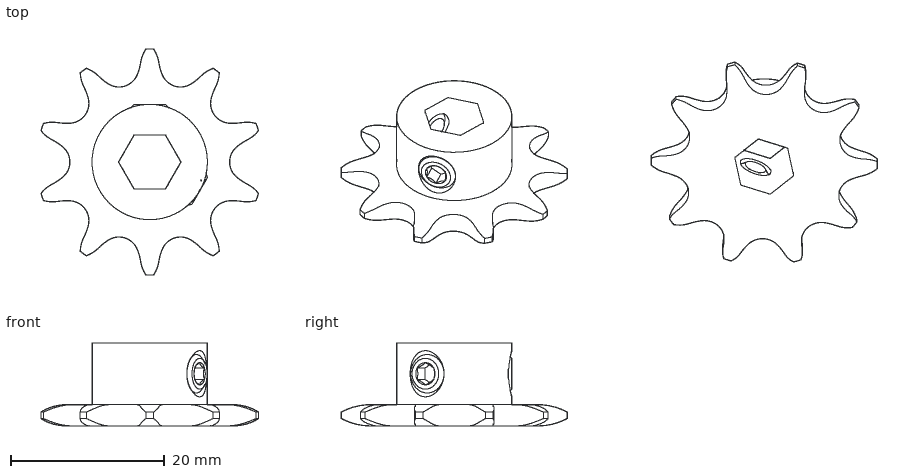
import cadquery as cq
import math

TEETH = 10
PITCH = 8.0
ROLLER_DIAMETER = 5.0
INCH = 25.4
SEAT_CLEARANCE = 0.003 * INCH
WORKING_OFFSET = 0.8 * ROLLER_DIAMETER
TIP_OFFSET = 1.4 * ROLLER_DIAMETER
HALF_TOOTH_ANGLE = math.pi / TEETH
PITCH_RADIUS = PITCH / (2 * math.sin(HALF_TOOTH_ANGLE))
TIP_RADIUS = PITCH * (0.6 + 1 / math.tan(HALF_TOOTH_ANGLE)) / 2

PLATE_THICKNESS = 2.8
FLANK_LENGTH = 3.85
FLANK_RADIUS = PITCH

HUB_RADIUS = 7.5
HUB_LENGTH = 8.0
BORE_ACROSS_FLATS = 7.0
BORE_CORNER_RADIUS = 0.15

SCREW_RADIUS = 2.5
SCREW_LENGTH = 4.0
SCREW_HEAD_CHAMFER = 0.5
SCREW_ANGLES = (90, -30)
SCREW_HEIGHT = PLATE_THICKNESS + HUB_LENGTH / 2
COUNTERSINK_DEPTH = 0.5
SOCKET_ACROSS_FLATS = 2.5
SOCKET_DEPTH = 2.0
CUP_RADIUS = 1.4
CUP_DEPTH = 1.0
TIP_HOLE_RADIUS = 2.1

OUTER_END = HUB_RADIUS
INNER_END = OUTER_END - SCREW_LENGTH

COS_30 = math.cos(math.radians(30))


def polar(center, radius, angle):
    """Point at the given distance and angle (radians) from a centre."""
    return (center[0] + radius * math.cos(angle), center[1] + radius * math.sin(angle))


def mirrored(point):
    """Mirror image of a point across the Y axis."""
    return (-point[0], point[1])


def tooth_gap():
    """Space for one roller: seat, working curve, short straight and tip arc on each side."""
    seat_center = (0, PITCH_RADIUS)
    seat_radius = (1.005 * ROLLER_DIAMETER + SEAT_CLEARANCE) / 2
    seat_angle = math.radians(35 + 60 / TEETH)
    working_angle = math.radians(18 - 56 / TEETH)
    straight_angle = math.radians(17 - 64 / TEETH)

    working_center = polar(seat_center, WORKING_OFFSET, math.pi - seat_angle)
    working_radius = WORKING_OFFSET + seat_radius
    seat_end = polar(seat_center, seat_radius, -seat_angle)
    working_middle = polar(working_center, working_radius, working_angle / 2 - seat_angle)
    normal_angle = working_angle - seat_angle
    working_end = polar(working_center, working_radius, normal_angle)

    straight_length = TIP_OFFSET * math.sin(straight_angle) - WORKING_OFFSET * math.sin(working_angle)
    straight_end = polar(working_end, straight_length, normal_angle + math.pi / 2)

    tip_center = polar(seat_center, TIP_OFFSET, -HALF_TOOTH_ANGLE)
    tip_arc_radius = math.dist(tip_center, straight_end)
    tip_height = math.sqrt(tip_arc_radius**2 - (TIP_OFFSET - PITCH / 2) ** 2)
    chord_middle = polar(seat_center, PITCH / 2, -HALF_TOOTH_ANGLE)
    tooth_apex = polar(chord_middle, tip_height, math.pi / 2 - HALF_TOOTH_ANGLE)
    start_angle = math.atan2(straight_end[1] - tip_center[1], straight_end[0] - tip_center[0])
    apex_angle = math.atan2(tooth_apex[1] - tip_center[1], tooth_apex[0] - tip_center[0])
    start_angle %= 2 * math.pi
    tip_middle = polar(tip_center, tip_arc_radius, (start_angle + apex_angle) / 2)

    beyond_rim = (0, TIP_RADIUS + ROLLER_DIAMETER / 2)

    return (
        cq.Workplane("XY")
        .moveTo(*mirrored(seat_end))
        .threePointArc((0, PITCH_RADIUS - seat_radius), seat_end)
        .threePointArc(working_middle, working_end)
        .lineTo(*straight_end)
        .threePointArc(tip_middle, tooth_apex)
        .lineTo(*beyond_rim)
        .lineTo(*mirrored(tooth_apex))
        .threePointArc(mirrored(tip_middle), mirrored(straight_end))
        .lineTo(*mirrored(working_end))
        .threePointArc(mirrored(working_middle), mirrored(seat_end))
        .close()
        .extrude(PLATE_THICKNESS)
    )


def toothed_plate():
    """Disc with flanks rounded towards a thin rim, cut into teeth."""
    flank_start = TIP_RADIUS - FLANK_LENGTH
    half_length = FLANK_LENGTH / 2
    middle_drop = FLANK_RADIUS - math.sqrt(FLANK_RADIUS**2 - half_length**2)
    rim_drop = FLANK_RADIUS - math.sqrt(FLANK_RADIUS**2 - FLANK_LENGTH**2)
    plate = (
        cq.Workplane("XZ")
        .lineTo(flank_start, 0)
        .threePointArc((flank_start + half_length, middle_drop), (TIP_RADIUS, rim_drop))
        .lineTo(TIP_RADIUS, PLATE_THICKNESS - rim_drop)
        .threePointArc(
            (flank_start + half_length, PLATE_THICKNESS - middle_drop),
            (flank_start, PLATE_THICKNESS),
        )
        .lineTo(0, PLATE_THICKNESS)
        .close()
        .revolve(360, (0, 0, 0), (0, 1, 0))
    )
    gap = tooth_gap()
    first_gap_angle = -90
    for index in range(TEETH):
        angle = first_gap_angle + index * 360 / TEETH
        plate = plate.cut(gap.rotate((0, 0, 0), (0, 0, 1), angle))
    return plate


def radial(shape, angle):
    """Turn a shape built along +X to its angle about Z, at the height of the screws."""
    return shape.rotate((0, 0, 0), (0, 0, 1), angle).translate((0, 0, SCREW_HEIGHT))


def tip_position(radius):
    """Distance from the hub axis at which the 45 degree screw tip reaches a radius."""
    return INNER_END + radius - CUP_RADIUS


def screw_hole():
    """Radial hole along +X: countersunk mouth, screw seat with conical floor, narrower way to the bore."""
    return (
        cq.Workplane("XY")
        .lineTo(OUTER_END, 0)
        .lineTo(OUTER_END, SCREW_RADIUS + COUNTERSINK_DEPTH)
        .lineTo(OUTER_END - COUNTERSINK_DEPTH, SCREW_RADIUS)
        .lineTo(tip_position(SCREW_RADIUS), SCREW_RADIUS)
        .lineTo(tip_position(TIP_HOLE_RADIUS), TIP_HOLE_RADIUS)
        .lineTo(0, TIP_HOLE_RADIUS)
        .close()
        .revolve(360, (0, 0, 0), (1, 0, 0))
    )


def make_sprocket():
    """Toothed plate and hub with a hexagonal bore and two screw holes."""
    total_height = PLATE_THICKNESS + HUB_LENGTH
    hub = cq.Workplane("XY").circle(HUB_RADIUS).extrude(total_height)
    bore = cq.Workplane("XY").polygon(6, BORE_ACROSS_FLATS / COS_30).extrude(total_height)
    bore = bore.edges("|Z").fillet(BORE_CORNER_RADIUS)
    sprocket = toothed_plate().union(hub).cut(bore)
    for angle in SCREW_ANGLES:
        sprocket = sprocket.cut(radial(screw_hole(), angle))
    return sprocket


def make_set_screw():
    """Set screw along +X: chamfered ends, hexagon socket outside, cone-shaped cup inside."""
    body = (
        cq.Workplane("XY")
        .moveTo(INNER_END + CUP_DEPTH, 0)
        .lineTo(INNER_END, CUP_RADIUS)
        .lineTo(tip_position(SCREW_RADIUS), SCREW_RADIUS)
        .lineTo(OUTER_END - SCREW_HEAD_CHAMFER, SCREW_RADIUS)
        .lineTo(OUTER_END, SCREW_RADIUS - SCREW_HEAD_CHAMFER)
        .lineTo(OUTER_END, 0)
        .close()
        .revolve(360, (0, 0, 0), (1, 0, 0))
    )
    corner_radius = SOCKET_ACROSS_FLATS / 2 / COS_30
    socket = (
        cq.Workplane("YZ", origin=(OUTER_END - SOCKET_DEPTH, 0, 0))
        .polygon(6, 2 * corner_radius)
        .extrude(SOCKET_DEPTH)
        .rotate((0, 0, 0), (1, 0, 0), 90)
    )
    lead_in = cq.Workplane("XY").add(
        cq.Solid.makeCone(corner_radius, 0, corner_radius, (OUTER_END, 0, 0), (-1, 0, 0))
    )
    return body.cut(socket).cut(lead_in)


sprocket = make_sprocket()
set_screws = [radial(make_set_screw(), angle) for angle in SCREW_ANGLES]

result = cq.Compound.makeCompound([sprocket.val(), *[screw.val() for screw in set_screws]])